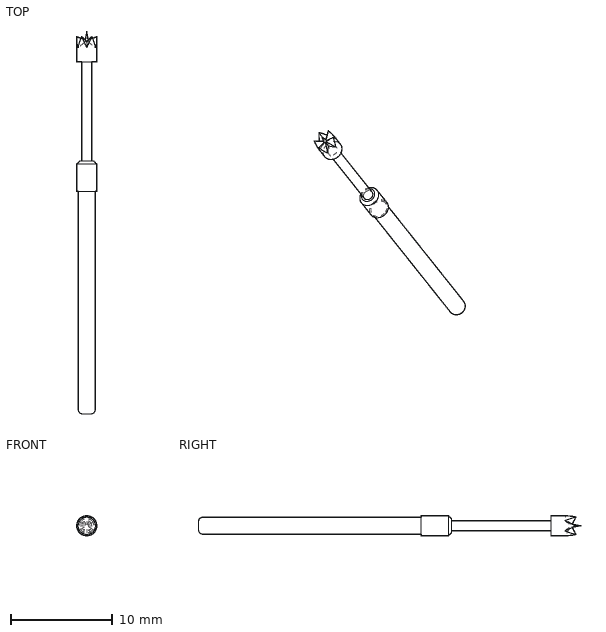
import cadquery as cq
import math


barrel_radius = 0.85
tail_fillet = 0.45
collar_radius = 1.0
collar_start = 22.0
collar_length = 3.0
collar_chamfer = 0.3
collar_end = collar_start + collar_length

overall_length = 37.8
plunger_radius = 0.5
head_radius = 1.0
head_length = 3.0
head_start = overall_length - head_length

tooth_count = 6
tooth_pitch = 360 / tooth_count
tooth_height = 1.1
dish_depth = 0.45
spike_lead = 0.5
spike_half_angle = 10
tooth_tip = overall_length - spike_lead
dish_bottom = tooth_tip - dish_depth
valley_rim = tooth_tip - tooth_height


def make_body():
    """Everything round except the spike, with a conical dish in the end of the head."""
    arc_center_radius = barrel_radius - tail_fillet
    arc_leg = tail_fillet * math.sqrt(0.5)
    arc_middle = (tail_fillet - arc_leg, arc_center_radius + arc_leg)
    profile = (
        cq.Workplane("YZ")
        .lineTo(0, arc_center_radius)
        .threePointArc(arc_middle, (tail_fillet, barrel_radius))
        .lineTo(collar_start, barrel_radius)
        .lineTo(collar_start, collar_radius)
        .lineTo(collar_end - collar_chamfer, collar_radius)
        .lineTo(collar_end, collar_radius - collar_chamfer)
        .lineTo(collar_end, plunger_radius)
        .lineTo(head_start, plunger_radius)
        .lineTo(head_start, head_radius)
        .lineTo(tooth_tip, head_radius)
        .lineTo(dish_bottom, 0)
        .close()
    )
    return profile.revolve(360, (0, 0), (1, 0))


def make_valley():
    """V-groove towards +Z, its bottom line falling from the dish centre to the valley rim."""
    floor_fall = dish_bottom - valley_rim
    floor_length = math.hypot(floor_fall, head_radius)

    half_pitch = math.radians(tooth_pitch / 2)
    tip_side = head_radius * math.sin(half_pitch)
    tip_reach = head_radius * math.cos(half_pitch)
    tip_rise = (dish_depth * head_radius + tip_reach * floor_fall) / floor_length

    oversize = 2
    side = oversize * tip_side
    rise = oversize * tip_rise
    floor_plane = cq.Plane(
        origin=(0, dish_bottom, 0),
        xDir=(1, 0, 0),
        normal=(0, -floor_fall, head_radius),
    )
    section = cq.Workplane(floor_plane).polyline([(0, 0), (side, rise), (-side, rise)]).close()
    return section.extrude(oversize * floor_length)


def make_spike():
    """Central cone, rooted in the head below the dish."""
    height = overall_length - valley_rim
    root_radius = height * math.tan(math.radians(spike_half_angle))
    return cq.Workplane(
        cq.Solid.makeCone(root_radius, 0, height, cq.Vector(0, valley_rim, 0), cq.Vector(0, 1, 0))
    )


result = make_body()
for index in range(tooth_count):
    result = result.cut(make_valley().rotate((0, 0, 0), (0, 1, 0), index * tooth_pitch))
result = result.union(make_spike())